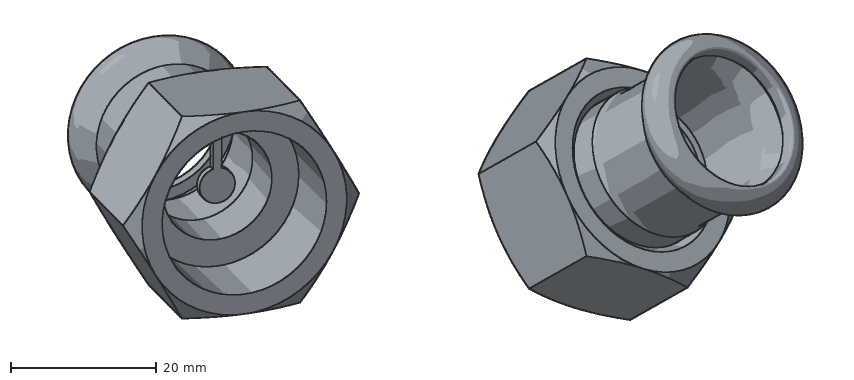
import cadquery as cq
import math

TOTAL_LENGTH = 37.1

BEAD_RADIUS = 2.75
BEAD_CENTER_RADIUS = 10.4
TUBE_RADIUS = 21.2 / 2
TUBE_START = 6.8
COLLAR_RADIUS = 22.0 / 2
COLLAR_START = 17.95
COLLAR_BLEND_LENGTH = 1.1

LIP_RADIUS = 9.87
LIP_ROUND = BEAD_CENTER_RADIUS - LIP_RADIUS
LIP_DEPTH = 2.05
GROOVE_RADIUS = 11.58
SOCKET_RADIUS = 18.8 / 2
SOCKET_CORNER = 6.65
SOCKET_BLEND_LENGTH = 0.7
SEAT_RADIUS = 18.2 / 2
STOP_DEPTH = 18.55
BORE_RADIUS = 16.0 / 2

ACROSS_FLATS = 30.0
HEX_HALF_ANGLE = 30.0
NUT_LENGTH = 16.0
NUT_START = TOTAL_LENGTH - NUT_LENGTH
CHAMFER_ANGLE = 30.0
NECK_RADIUS = 22.1 / 2
COUNTERSINK_RADIUS = 24.1 / 2
COUNTERSINK_DEPTH = COUNTERSINK_RADIUS - NECK_RADIUS
NECK_LENGTH = 2.95
THREAD_RADIUS = 24.1 / 2

FLANGE_START = NUT_START + NECK_LENGTH
FLANGE_THICKNESS = 2.23
FLANGE_CLEARANCE = 0.1
FLANGE_RADIUS = THREAD_RADIUS - FLANGE_CLEARANCE
FITTING_END = FLANGE_START + FLANGE_THICKNESS

DISC_RADIUS = 2.6
SPOKE_WIDTH = 1.25
SPOKE_OVERLAP = 0.37
DISC_THICKNESS = 1.1


def revolve_about_x(profile):
    """Revolve a closed XY profile around the X axis."""
    return profile.close().revolve(360, (0, 0, 0), (1, 0, 0))


def cylinder_along_x(radius, start, length):
    return cq.Workplane("YZ", origin=(start, 0, 0)).circle(radius).extrude(length)


def make_fitting_shell():
    run = TUBE_START - BEAD_RADIUS
    rise = TUBE_RADIUS - BEAD_CENTER_RADIUS
    tangent_angle = math.atan2(rise, run) + math.acos(BEAD_RADIUS / math.hypot(run, rise))
    cone_start_x = BEAD_RADIUS + BEAD_RADIUS * math.cos(tangent_angle)
    cone_start_radius = BEAD_CENTER_RADIUS + BEAD_RADIUS * math.sin(tangent_angle)

    cone_run = math.sin(tangent_angle)
    cone_drop = math.cos(tangent_angle)
    groove_end = SOCKET_CORNER - (GROOVE_RADIUS - SOCKET_RADIUS) * cone_run / cone_drop
    blend_start_x = SOCKET_CORNER - SOCKET_BLEND_LENGTH * cone_run
    blend_start_radius = SOCKET_RADIUS + SOCKET_BLEND_LENGTH * cone_drop
    blend_end_x = SOCKET_CORNER + SOCKET_BLEND_LENGTH
    half_turn = (math.pi / 2 - tangent_angle) / 2
    blend_radius = SOCKET_BLEND_LENGTH / math.tan(half_turn)
    blend_middle = (
        blend_end_x - blend_radius * math.sin(half_turn),
        SOCKET_RADIUS + blend_radius * (1 - math.cos(half_turn)),
    )
    lip_middle_offset = LIP_ROUND * (1 - math.sqrt(0.5))

    profile = (
        cq.Workplane("XY")
        .moveTo(0, BEAD_CENTER_RADIUS)
        .threePointArc(
            (BEAD_RADIUS, BEAD_CENTER_RADIUS + BEAD_RADIUS),
            (cone_start_x, cone_start_radius),
        )
        .lineTo(TUBE_START, TUBE_RADIUS)
        .lineTo(COLLAR_START - COLLAR_BLEND_LENGTH, TUBE_RADIUS)
        .tangentArcPoint((COLLAR_START, COLLAR_RADIUS), relative=False)
        .lineTo(FLANGE_START, COLLAR_RADIUS)
        .lineTo(FLANGE_START, FLANGE_RADIUS)
        .lineTo(FITTING_END, FLANGE_RADIUS)
        .lineTo(FITTING_END, BORE_RADIUS)
        .lineTo(STOP_DEPTH, BORE_RADIUS)
        .lineTo(STOP_DEPTH, SEAT_RADIUS)
        .lineTo(blend_end_x, SOCKET_RADIUS)
        .threePointArc(blend_middle, (blend_start_x, blend_start_radius))
        .lineTo(groove_end, GROOVE_RADIUS)
        .lineTo(LIP_DEPTH, GROOVE_RADIUS)
        .lineTo(LIP_DEPTH, LIP_RADIUS)
        .lineTo(LIP_ROUND, LIP_RADIUS)
        .threePointArc(
            (lip_middle_offset, LIP_RADIUS + lip_middle_offset),
            (0, BEAD_CENTER_RADIUS),
        )
    )
    return revolve_about_x(profile)


def make_spoked_disc():
    start = FITTING_END - DISC_THICKNESS
    disc = cylinder_along_x(DISC_RADIUS, start, DISC_THICKNESS)
    spoke = cq.Workplane("XY").box(
        DISC_THICKNESS, SPOKE_WIDTH, BORE_RADIUS + SPOKE_OVERLAP, centered=(False, True, False)
    )
    return disc.union(spoke.translate((start, 0, 0)))


def make_fitting():
    return make_fitting_shell().union(make_spoked_disc())


def make_nut_chamfer_envelope():
    """Barrel whose conical ends bevel the hexagon's corners."""
    face_radius = ACROSS_FLATS / 2
    corner_radius = face_radius / math.cos(math.radians(HEX_HALF_ANGLE))
    bevel = (corner_radius - face_radius) * math.tan(math.radians(CHAMFER_ANGLE))
    profile = (
        cq.Workplane("XY")
        .moveTo(NUT_START, 0)
        .lineTo(NUT_START, face_radius)
        .lineTo(NUT_START + bevel, corner_radius)
        .lineTo(TOTAL_LENGTH - bevel, corner_radius)
        .lineTo(TOTAL_LENGTH, face_radius)
        .lineTo(TOTAL_LENGTH, 0)
    )
    return revolve_about_x(profile)


def make_nut_bore():
    profile = (
        cq.Workplane("XY")
        .moveTo(NUT_START, 0)
        .lineTo(NUT_START, COUNTERSINK_RADIUS)
        .lineTo(NUT_START + COUNTERSINK_DEPTH, NECK_RADIUS)
        .lineTo(FLANGE_START, NECK_RADIUS)
        .lineTo(FLANGE_START, THREAD_RADIUS)
        .lineTo(TOTAL_LENGTH, THREAD_RADIUS)
        .lineTo(TOTAL_LENGTH, 0)
    )
    return revolve_about_x(profile)


def make_nut():
    hexagon = (
        cq.Workplane("YZ", origin=(NUT_START, 0, 0))
        .polygon(6, ACROSS_FLATS, circumscribed=True)
        .extrude(NUT_LENGTH)
    )
    hexagon = hexagon.rotate((0, 0, 0), (1, 0, 0), HEX_HALF_ANGLE)
    return hexagon.intersect(make_nut_chamfer_envelope()).cut(make_nut_bore())


fitting = make_fitting()
nut = make_nut()

result = cq.Compound.makeCompound([fitting.val(), nut.val()])